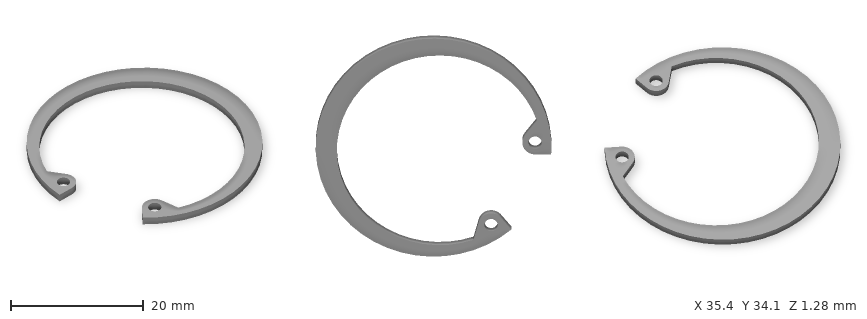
import cadquery as cq
import math

thickness = 1.28
outer_radius = 17.72
bore_radius = 15.42
bore_shift = 1.0
end_angle = 22.5
lug_start_x = 10.78
hole_x = 7.48
hole_y = -13.33
hole_diameter = 2.0
lug_radius = 1.9


def tangent_point(point, center, radius, side):
    """Touching point of a line from point to a circle; side +1 is counter-clockwise."""
    dx = point[0] - center[0]
    dy = point[1] - center[1]
    angle = math.atan2(dy, dx) + side * math.acos(radius / math.hypot(dx, dy))
    return (center[0] + radius * math.cos(angle), center[1] + radius * math.sin(angle))


def mirrored(point):
    return (-point[0], point[1])


hole = (hole_x, hole_y)
tip_angle = math.radians(end_angle)
tip = (outer_radius * math.sin(tip_angle), -outer_radius * math.cos(tip_angle))
end_tangent = tangent_point(tip, hole, lug_radius, -1)
lug_start = (lug_start_x, -bore_shift - math.sqrt(bore_radius**2 - lug_start_x**2))
bore_tangent = tangent_point(lug_start, hole, lug_radius, 1)

nose_x = (end_tangent[0] + bore_tangent[0]) / 2 - hole_x
nose_y = (end_tangent[1] + bore_tangent[1]) / 2 - hole_y
nose_scale = lug_radius / math.hypot(nose_x, nose_y)
nose = (hole_x + nose_x * nose_scale, hole_y + nose_y * nose_scale)

ring = (
    cq.Workplane("XY")
    .moveTo(*tip)
    .threePointArc((0, outer_radius), mirrored(tip))
    .lineTo(*mirrored(end_tangent))
    .threePointArc(mirrored(nose), mirrored(bore_tangent))
    .lineTo(*mirrored(lug_start))
    .threePointArc((0, bore_radius - bore_shift), lug_start)
    .lineTo(*bore_tangent)
    .threePointArc(nose, end_tangent)
    .close()
    .extrude(thickness)
)

plier_holes = (
    cq.Workplane("XY")
    .pushPoints([hole, mirrored(hole)])
    .circle(hole_diameter / 2)
    .extrude(thickness)
)

result = ring.cut(plier_holes)